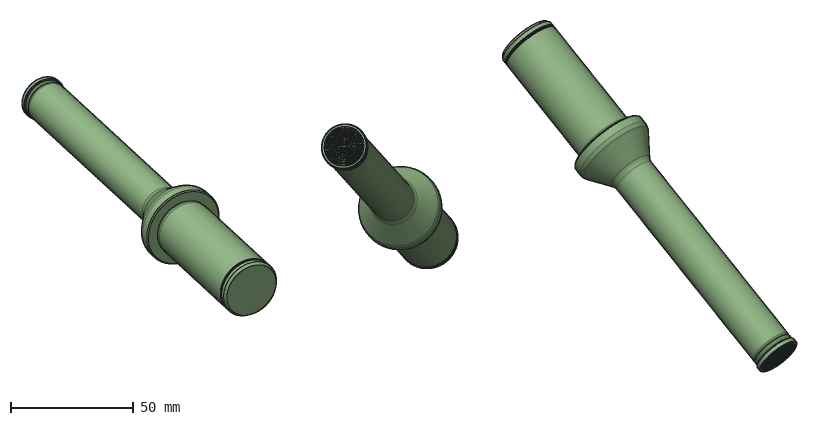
import cadquery as cq

total_length = 173.0
rod_radius = 18.0 / 2
tip_length = 4.5
collar_radius = 34.0 / 2
shank_radius = 24.9 / 2
groove_radius = 24.5 / 2

rim_radius = 19.0 / 2
rim_length = 2.5
rim_chamfer = 0.3
tip_groove_radius = 17.8 / 2
neck_radius = 18.0 / 2
neck_start = 3.3
neck_chamfer = 0.5
rod_chamfer_start = 5.0
rod_chamfer_end = 5.5
face_groove_width = 0.5
face_groove_depth = 0.2
face_groove_pitch = 1.0
face_groove_count = 8

flare_start = 98.6
cone_start = 101.2
cone_end = 111.0
collar_start = 113.0
collar_end = 117.0
collar_chamfer = 0.5
relief_ramp_start = 117.6
relief_end = 118.9
rear_groove_start = 169.0
rear_groove_ramp = 0.3
rear_groove_end = 170.0
end_chamfer_length = 1.2
end_chamfer_depth = 0.9

shoulder_rise = 0.5
shoulder_bulge = 0.09
cone_end_radius = collar_radius - shoulder_rise
flare_rise = 0.9
cone_start_radius = rod_radius + flare_rise
shoulder_middle = (
    (cone_end + collar_start) / 2,
    (cone_end_radius + collar_radius) / 2 + shoulder_bulge,
)


def revolve_profile(profile):
    return profile.close().revolve(360, (0, 0, 0), (1, 0, 0))


def make_tip():
    tip = revolve_profile(
        cq.Workplane("XY")
        .lineTo(0, rim_radius - rim_chamfer)
        .lineTo(rim_chamfer, rim_radius)
        .lineTo(rim_length - rim_chamfer, rim_radius)
        .lineTo(rim_length, rim_radius - rim_chamfer)
        .lineTo(rim_length, tip_groove_radius)
        .lineTo(neck_start - neck_chamfer, tip_groove_radius)
        .lineTo(neck_start, neck_radius)
        .lineTo(tip_length - neck_chamfer, neck_radius)
        .lineTo(tip_length, tip_groove_radius)
        .lineTo(tip_length, 0)
    )
    for index in range(1, face_groove_count + 1):
        inner = index * face_groove_pitch - face_groove_width
        ring = (
            cq.Workplane("YZ")
            .circle(inner + face_groove_width)
            .circle(inner)
            .extrude(face_groove_depth)
        )
        tip = tip.cut(ring)
    return tip


def make_holder():
    return revolve_profile(
        cq.Workplane("XY")
        .moveTo(tip_length, 0)
        .lineTo(tip_length, tip_groove_radius)
        .lineTo(rod_chamfer_start, tip_groove_radius)
        .lineTo(rod_chamfer_end, rod_radius)
        .lineTo(flare_start, rod_radius)
        .tangentArcPoint((cone_start, cone_start_radius), relative=False)
        .lineTo(cone_end, cone_end_radius)
        .threePointArc(shoulder_middle, (collar_start, collar_radius))
        .lineTo(collar_end - collar_chamfer, collar_radius)
        .lineTo(collar_end, collar_radius - collar_chamfer)
        .lineTo(collar_end, groove_radius)
        .lineTo(relief_ramp_start, groove_radius)
        .lineTo(relief_end, shank_radius)
        .lineTo(rear_groove_start, shank_radius)
        .lineTo(rear_groove_start + rear_groove_ramp, groove_radius)
        .lineTo(rear_groove_end - rear_groove_ramp, groove_radius)
        .lineTo(rear_groove_end, shank_radius)
        .lineTo(total_length - end_chamfer_length, shank_radius)
        .lineTo(total_length, shank_radius - end_chamfer_depth)
        .lineTo(total_length, 0)
    )


tip = make_tip()
holder = make_holder()
result = cq.Compound.makeCompound([tip.val(), holder.val()])